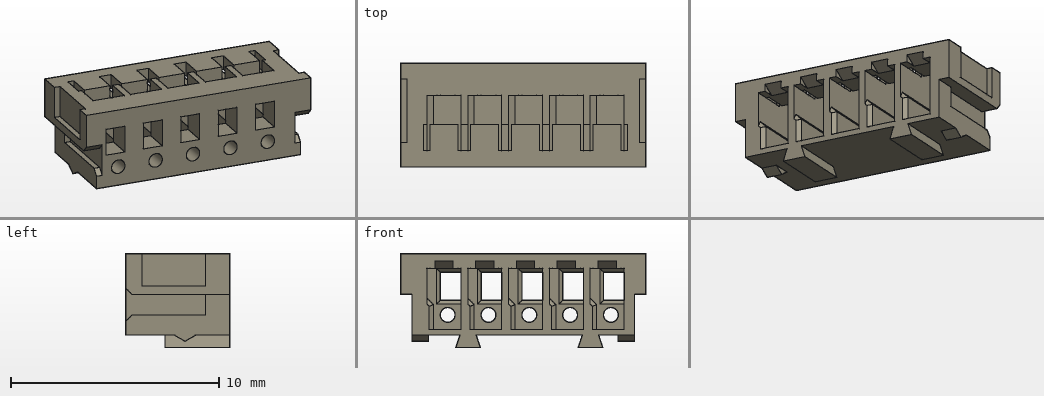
import cadquery as cq
import math

LENGTH = 11.77
DEPTH = 5.0
BODY_HEIGHT = 3.91
RAIL_HEIGHT = 0.60

FLANGE_OVERHANG = 0.54
FLANGE_HEIGHT = 1.96
FLANGE_BOTTOM = BODY_HEIGHT - FLANGE_HEIGHT
LOWER_HALF_LENGTH = LENGTH / 2 - FLANGE_OVERHANG
REAR_CHAMFER = 0.30

END_RECESS_DEPTH = 0.29
END_RECESS_FRONT = 1.175
UPPER_RECESS_REAR = 4.22
UPPER_RECESS_BOTTOM = BODY_HEIGHT - 1.56
GROOVE_BOTTOM = BODY_HEIGHT - 2.955

CAVITY_COUNT = 5
PITCH = 1.96
CAVITY_WIDTH = 1.63
ROW_CENTER_X = 0.11
CAVITY_REAR = 3.44
CAVITY_FLOOR = 0.27
CAVITY_CEILING = BODY_HEIGHT - 0.71

LEDGE_FRONT_WIDTH = 0.11
LEDGE_REAR_WIDTH = 0.31
LEDGE_LEAD_IN = LEDGE_REAR_WIDTH - LEDGE_FRONT_WIDTH
LEDGE_REAR_WALL_Z = BODY_HEIGHT - 2.14
LEDGE_REAR_EDGE_Z = LEDGE_REAR_WALL_Z - LEDGE_REAR_WIDTH
LEDGE_FRONT_WALL_Z = LEDGE_REAR_WALL_Z - math.sqrt(2) * LEDGE_LEAD_IN
LEDGE_FRONT_EDGE_Z = LEDGE_FRONT_WALL_Z - LEDGE_FRONT_WIDTH

WINDOW_WIDTH = 1.17
WINDOW_BOTTOM = BODY_HEIGHT - 2.43
WINDOW_TAPER = 0.19
WINDOW_TAPER_DEPTH = WINDOW_TAPER

HOLE_DIAMETER = 0.70
HOLE_OFFSET_X = 0.18
HOLE_Z = BODY_HEIGHT - 2.945

TONGUE_WIDTH = 1.345
TONGUE_TIP = 2.05
SLOT_FRONT = 0.79
RAMP_WIDTH = 0.88
RAMP_FRONT_Z = BODY_HEIGHT - 0.35
RAMP_LENGTH = 0.65

RAIL_TOP_WIDTH = 0.79
RAIL_BOTTOM_WIDTH = 1.19
RAIL_LENGTH = 3.12
RAIL_SPACING = (CAVITY_COUNT - 2) * PITCH
RAIL_CENTER_X = ROW_CENTER_X + HOLE_OFFSET_X

BUMP_WIDTH = 0.80
BUMP_HEIGHT = 0.30
BUMP_HALF_BASE = 0.53
BUMP_APEX_Y = 2.15


def block(x, y, z):
    """Box spanning the given (low, high) ranges along X, Y and Z."""
    size = (x[1] - x[0], y[1] - y[0], z[1] - z[0])
    return cq.Workplane("XY").box(*size, centered=False).translate((x[0], y[0], z[0]))


def prism_along_x(points, x_start, width):
    """Prism with a (Y, Z) outline, running along +X from x_start."""
    return cq.Workplane("YZ", origin=(x_start, 0, 0)).polyline(points).close().extrude(width)


def mirror_pair(shape):
    """A shape together with its mirror image at the opposite end of the body."""
    return shape.union(shape.mirror("YZ"))


def make_body():
    core = block((-LOWER_HALF_LENGTH, LOWER_HALF_LENGTH), (0, DEPTH), (0, BODY_HEIGHT))
    flange_outline = [
        (0, FLANGE_BOTTOM),
        (DEPTH - REAR_CHAMFER, FLANGE_BOTTOM),
        (DEPTH, FLANGE_BOTTOM + REAR_CHAMFER),
        (DEPTH, BODY_HEIGHT),
        (0, BODY_HEIGHT),
    ]
    flange = mirror_pair(prism_along_x(flange_outline, -LENGTH / 2, FLANGE_OVERHANG))
    return core.union(flange)


def make_end_recesses():
    upper = block(
        (-LENGTH / 2, -LENGTH / 2 + END_RECESS_DEPTH),
        (END_RECESS_FRONT, UPPER_RECESS_REAR),
        (UPPER_RECESS_BOTTOM, BODY_HEIGHT),
    )
    groove_outline = [
        (END_RECESS_FRONT, GROOVE_BOTTOM),
        (DEPTH - REAR_CHAMFER, GROOVE_BOTTOM),
        (DEPTH, GROOVE_BOTTOM - REAR_CHAMFER),
        (DEPTH, FLANGE_BOTTOM + REAR_CHAMFER),
        (DEPTH - REAR_CHAMFER, FLANGE_BOTTOM),
        (END_RECESS_FRONT, FLANGE_BOTTOM),
    ]
    groove = prism_along_x(groove_outline, -LOWER_HALF_LENGTH, END_RECESS_DEPTH)
    return mirror_pair(upper.union(groove))


def make_ledge(left):
    """Key ledge against the cavity wall at X = left."""

    def outline(plane, width, wall_z, edge_z):
        corners = [
            (left, CAVITY_FLOOR),
            (left + width, CAVITY_FLOOR),
            (left + width, edge_z),
            (left, wall_z),
        ]
        return plane.polyline(corners).close()

    front = cq.Workplane("XZ")
    lead_in = outline(front, LEDGE_FRONT_WIDTH, LEDGE_FRONT_WALL_Z, LEDGE_FRONT_EDGE_Z)
    rear_size = (LEDGE_REAR_WIDTH, LEDGE_REAR_WALL_Z, LEDGE_REAR_EDGE_Z)
    lead_in = outline(lead_in.workplane(offset=-LEDGE_LEAD_IN), *rear_size).loft(ruled=True)
    rear = cq.Workplane("XZ", origin=(0, LEDGE_LEAD_IN, 0))
    straight = outline(rear, *rear_size).extrude(LEDGE_LEAD_IN - CAVITY_REAR)
    return lead_in.union(straight)


def make_window(right):
    """Rear wall window ending at X = right, with tapered left, top and bottom sides."""
    left = right - WINDOW_WIDTH
    taper_mouth = [
        (left, WINDOW_BOTTOM),
        (right, WINDOW_BOTTOM),
        (right, CAVITY_CEILING),
        (left, CAVITY_CEILING),
    ]
    throat_left = left + WINDOW_TAPER
    throat_bottom = WINDOW_BOTTOM + WINDOW_TAPER
    throat_top = CAVITY_CEILING - WINDOW_TAPER
    taper_end = [
        (throat_left, throat_bottom),
        (right, throat_bottom),
        (right, throat_top),
        (throat_left, throat_top),
    ]
    mouth = cq.Workplane("XZ", origin=(0, CAVITY_REAR, 0)).polyline(taper_mouth).close()
    taper = mouth.workplane(offset=-WINDOW_TAPER_DEPTH).polyline(taper_end).close().loft(ruled=True)
    throat = block((throat_left, right), (CAVITY_REAR, DEPTH), (throat_bottom, throat_top))
    return taper.union(throat)


def make_hole(x):
    plane = cq.Workplane("XZ", origin=(x, CAVITY_REAR, HOLE_Z))
    return plane.circle(HOLE_DIAMETER / 2).extrude(CAVITY_REAR - DEPTH)


def make_roof_opening(center):
    """Roof opening behind the tongue tip, plus the two slots beside the tongue."""
    half_cavity = CAVITY_WIDTH / 2
    heights = (CAVITY_CEILING, BODY_HEIGHT)
    opening = block((center - half_cavity, center + half_cavity), (TONGUE_TIP, CAVITY_REAR), heights)
    half_pitch = PITCH / 2
    half_tongue = TONGUE_WIDTH / 2
    slots_y = (SLOT_FRONT, TONGUE_TIP)
    left_slot = block((center - half_pitch, center - half_tongue), slots_y, heights)
    right_slot = block((center + half_tongue, center + half_pitch), slots_y, heights)
    return opening.union(left_slot).union(right_slot)


def make_ramp(center):
    """Wedge under the tongue root, highest at the front face."""
    outline = [(0, CAVITY_CEILING), (0, RAMP_FRONT_Z), (RAMP_LENGTH, CAVITY_CEILING)]
    return prism_along_x(outline, center - RAMP_WIDTH / 2, RAMP_WIDTH)


def make_contact_cavity(center):
    left = center - CAVITY_WIDTH / 2
    right = center + CAVITY_WIDTH / 2
    chamber = block((left, right), (0, CAVITY_REAR), (CAVITY_FLOOR, CAVITY_CEILING))
    cavity = chamber.cut(make_ledge(left))
    cavity = cavity.union(make_window(right)).union(make_hole(center + HOLE_OFFSET_X))
    return cavity.union(make_roof_opening(center)).union(make_ramp(center))


def make_rail(center):
    half_top = RAIL_TOP_WIDTH / 2
    half_bottom = RAIL_BOTTOM_WIDTH / 2
    outline = [
        (center - half_top, 0),
        (center + half_top, 0),
        (center + half_bottom, -RAIL_HEIGHT),
        (center - half_bottom, -RAIL_HEIGHT),
    ]
    return cq.Workplane("XZ").polyline(outline).close().extrude(-RAIL_LENGTH)


def make_bumps():
    outline = [
        (BUMP_APEX_Y - BUMP_HALF_BASE, 0),
        (BUMP_APEX_Y, -BUMP_HEIGHT),
        (BUMP_APEX_Y + BUMP_HALF_BASE, 0),
    ]
    return mirror_pair(prism_along_x(outline, -LOWER_HALF_LENGTH, BUMP_WIDTH))


result = make_body().cut(make_end_recesses()).union(make_bumps())
for side in (-1, 1):
    result = result.union(make_rail(RAIL_CENTER_X + side * RAIL_SPACING / 2))
for index in range(CAVITY_COUNT):
    cavity_x = ROW_CENTER_X + (index - (CAVITY_COUNT - 1) / 2) * PITCH
    result = result.cut(make_contact_cavity(cavity_x))